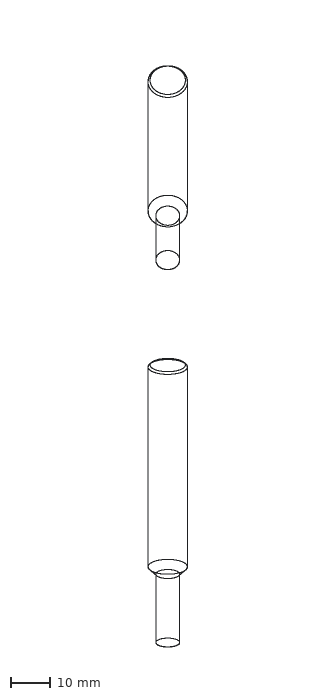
import cadquery as cq

total_length = 76.0
shank_diameter = 10.0
pin_diameter = 6.1
pin_length = 18.8
top_chamfer = 0.5

shank_radius = shank_diameter / 2
pin_radius = pin_diameter / 2
cone_height = shank_radius - pin_radius
pin_top = total_length / 2 - (total_length - pin_length)
pin_bottom = pin_top - pin_length
cone_top = pin_top + cone_height
shank_length = total_length / 2 - cone_top


def make_shank():
    """Plain cylindrical shank with a chamfered top rim."""
    shank = cq.Workplane("XY", origin=(0, 0, cone_top)).circle(shank_radius).extrude(shank_length)
    return shank.faces(">Z").chamfer(top_chamfer)


def make_cone():
    """Tapered collar leading from the pin up to the shank."""
    return cq.Workplane(
        cq.Solid.makeCone(pin_radius, shank_radius, cone_height, cq.Vector(0, 0, pin_top))
    )


def make_pin():
    """Slim cylindrical pin below the collar."""
    return cq.Workplane("XY", origin=(0, 0, pin_bottom)).circle(pin_radius).extrude(pin_length)


shank = make_shank()
cone = make_cone()
pin = make_pin()

result = cq.Compound.makeCompound([shank.val(), cone.val(), pin.val()])